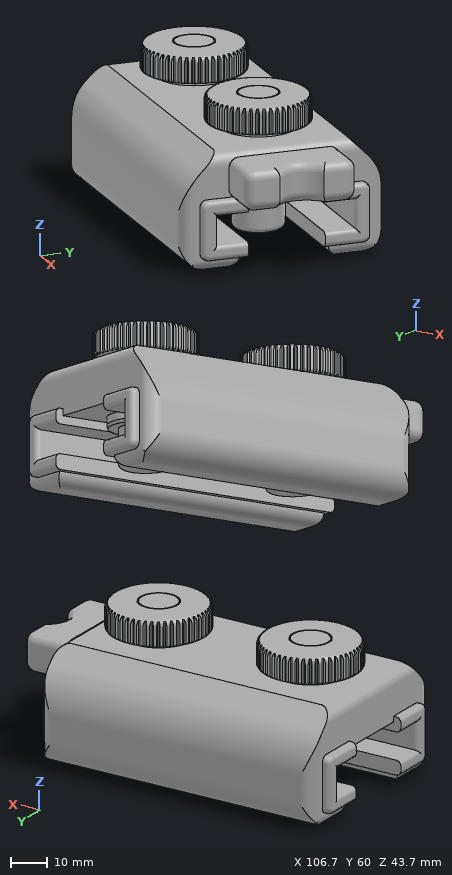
import cadquery as cq
import math

overall_length = 106.7

body_length = 90.1
body_width = 60.0
body_height = 34.0
end_round = 4.0
bottom_end_round = 3.2
side_low_radius = 8.0
side_flat_top = 16.0
shoulder_radius = 18.0
foot_inner_y = 13.0
channel_top = 19.2

liner_overhang = 2.5
liner_outer_y = 24.9
liner_lip_y = 11.3
liner_height = 17.4
liner_wall = 4.5
liner_base_left = 3.8
liner_base_right = 3.5
liner_corner_radius = 2.0
liner_edge_round = 1.5

screw_positions = (20.0, 70.0)
total_height = 43.7
knob_diameter = 30.0
knob_height = 8.0
knob_top_round = 2.0
knob_bottom_round = 0.9
tooth_count = 50
tooth_gap_depth = 0.7
tooth_gap_mouth = 1.1
tooth_gap_floor = 0.4
cap_diameter = 12.0
cap_groove_width = 0.3
cap_groove_depth = 0.5
collar_diameter = 21.5
collar_round = 1.7
flange_bottom = 16.0
flange_bevel_height = 1.0
flange_bevel_width = 0.3
pin_diameter = 15.0
pin_bottom = 4.8
pin_round = 1.5

tab_length = overall_length - body_length - liner_overhang
tab_width = 32.5
tab_thickness = 12.0
tab_bottom = 20.4
tab_round = 3.0
notch_diameter = 14.8
notch_depth = 3.8

half_width = body_width / 2


def body_section():
    """Mirrored halves of the cross-section, extruded along X."""
    diagonal = math.sqrt(0.5)
    shoulder_y = half_width - shoulder_radius
    bevel_y = shoulder_y + shoulder_radius * diagonal
    bevel_z = side_flat_top + shoulder_radius * diagonal
    shoulder_mid = (
        shoulder_y + shoulder_radius * math.cos(math.pi / 8),
        side_flat_top + shoulder_radius * math.sin(math.pi / 8),
    )
    low_y = half_width - side_low_radius
    low_mid = (
        low_y + side_low_radius * diagonal,
        side_low_radius * (1 - diagonal),
    )
    foot_y = foot_inner_y + end_round
    foot_mid = (
        foot_y - end_round * diagonal,
        end_round * (1 - diagonal),
    )
    half = (
        cq.Workplane("YZ")
        .moveTo(0, channel_top)
        .lineTo(0, body_height)
        .lineTo(bevel_y - (body_height - bevel_z), body_height)
        .lineTo(bevel_y, bevel_z)
        .threePointArc(shoulder_mid, (half_width, side_flat_top))
        .lineTo(half_width, side_low_radius)
        .threePointArc(low_mid, (low_y, 0))
        .lineTo(foot_y, 0)
        .threePointArc(foot_mid, (foot_inner_y, end_round))
        .lineTo(foot_inner_y, channel_top)
        .close()
        .extrude(body_length)
    )
    return half.union(half.mirror("XZ"))


def make_body():
    """Cross-section trimmed by a block whose end edges are rounded."""
    envelope = (
        cq.Workplane("XY")
        .box(body_length, 2 * body_width, body_height, centered=(False, True, False))
        .edges("|Y and >Z").fillet(end_round)
        .edges("|Y and <Z").fillet(bottom_end_round)
    )
    upright_rounds = (
        cq.Workplane("XY")
        .box(body_length, body_width, body_height, centered=(False, True, False))
        .edges("|Z").fillet(end_round)
    )
    return body_section().intersect(envelope).intersect(upright_rounds)


def liner_pocket(base_z):
    """Through pocket inside the +Y liner, open toward the channel."""
    return (
        cq.Workplane("XY")
        .box(
            body_length + 2 * liner_overhang,
            liner_outer_y - liner_wall,
            liner_height - 2 * liner_wall,
            centered=False,
        )
        .translate((-liner_overhang, 0, base_z + liner_wall))
    )


def make_liner(base_z):
    """Liner on the +Y side with its protruding end rims rounded."""
    liner = (
        cq.Workplane("XY")
        .box(
            body_length + 2 * liner_overhang,
            liner_outer_y - liner_lip_y,
            liner_height,
            centered=False,
        )
        .translate((-liner_overhang, liner_lip_y, base_z))
        .edges("|X and >Y").fillet(liner_corner_radius)
        .cut(liner_pocket(base_z))
    )
    sharp_limit_y = liner_lip_y + liner_edge_round
    rims = liner.faces("<X or >X").edges().filter(lambda edge: edge.Center().y > sharp_limit_y)
    return rims.fillet(liner_edge_round)


def make_knob():
    """Knob with a straight knurl and a ring groove around its centre cap."""
    knob_bottom = total_height - knob_height
    knob_radius = knob_diameter / 2
    knob = (
        cq.Workplane("XY", origin=(0, 0, knob_bottom))
        .circle(knob_radius).extrude(knob_height)
        .faces(">Z").edges().fillet(knob_top_round)
        .faces("<Z").edges().fillet(knob_bottom_round)
    )
    gap_root = knob_radius - tooth_gap_depth
    gap_outside = knob_radius + tooth_gap_depth
    gap = (
        cq.Workplane("XY", origin=(0, 0, knob_bottom))
        .moveTo(gap_root, -tooth_gap_floor / 2)
        .lineTo(knob_radius, -tooth_gap_mouth / 2)
        .lineTo(gap_outside, -tooth_gap_mouth / 2)
        .lineTo(gap_outside, tooth_gap_mouth / 2)
        .lineTo(knob_radius, tooth_gap_mouth / 2)
        .lineTo(gap_root, tooth_gap_floor / 2)
        .close()
        .extrude(knob_height)
    )
    tooth_gaps = cq.Workplane("XY")
    for index in range(tooth_count):
        tooth_gaps.add(gap.rotate((0, 0, 0), (0, 0, 1), index * 360 / tooth_count))
    cap_radius = cap_diameter / 2
    cap_groove = (
        cq.Workplane("XY", origin=(0, 0, total_height))
        .circle(cap_radius)
        .circle(cap_radius - cap_groove_width)
        .extrude(-cap_groove_depth)
    )
    return knob.cut(cq.Compound.makeCompound(tooth_gaps.vals())).cut(cap_groove)


def make_shank():
    """Turned part under the knob: collar, flange and rounded pin."""
    collar_top = total_height - knob_height
    collar_radius = collar_diameter / 2
    collar = (
        cq.Workplane("XY", origin=(0, 0, flange_bottom))
        .circle(collar_radius).extrude(collar_top - flange_bottom)
        .faces(">Z").edges().fillet(collar_round)
        .faces("<Z").edges().chamfer(flange_bevel_height, flange_bevel_width)
    )
    pin = (
        cq.Workplane("XY", origin=(0, 0, pin_bottom))
        .circle(pin_diameter / 2).extrude(collar_top - pin_bottom)
        .faces("<Z").edges().fillet(pin_round)
    )
    return collar.union(pin)


def make_tab():
    """Rounded end tab with a thumb notch in its free end."""
    tab = (
        cq.Workplane("XY")
        .box(tab_length, tab_width, tab_thickness, centered=(False, True, False))
        .translate((body_length, 0, tab_bottom))
    )
    notch_x = body_length + tab_length - notch_depth + notch_diameter / 2
    notch = (
        cq.Workplane("XY", origin=(notch_x, 0, tab_bottom))
        .circle(notch_diameter / 2).extrude(tab_thickness)
    )
    return (
        tab.edges("|Z and >X").fillet(tab_round)
        .cut(notch)
        .faces("<Z or >Z").edges("not <X").fillet(tab_round)
    )


screw = make_knob().union(make_shank())

result = make_body()
result = result.cut(liner_pocket(liner_base_left))
result = result.cut(liner_pocket(liner_base_right).mirror("XZ"))
result = result.union(make_liner(liner_base_left))
result = result.union(make_liner(liner_base_right).mirror("XZ"))
for screw_x in screw_positions:
    result = result.union(screw.translate((screw_x, 0, 0)))
result = result.union(make_tab())